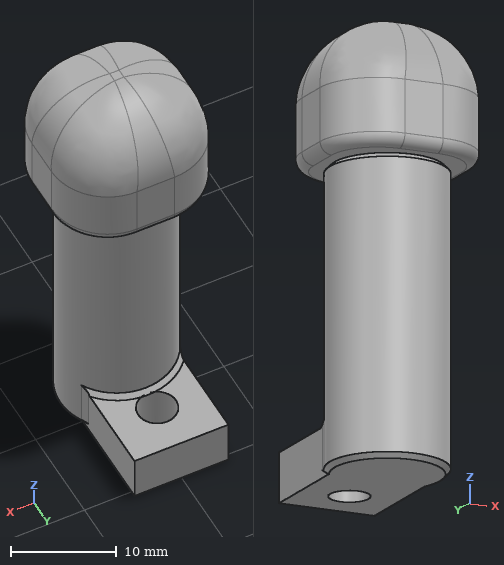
import cadquery as cq
import math

total_height = 44.0
stem_height = 30.0

stem_radius = 12.0 / 2
stem_chamfer = 0.5

tab_width = 10.0
tab_length = 10.0
tab_height = 5.0
tab_hole_diameter = 4.0
junction_chamfer = 0.5

junction_y = math.sqrt(stem_radius**2 - (tab_width / 2) ** 2)
tab_end_y = junction_y + tab_length
tab_hole_y = junction_y + tab_length / 2

cap_width = 16.0
cap_height = total_height - stem_height
cap_corner_radius = 6.0
cap_dome_radius = 7.5
cap_rim_radius = 1.2

pick_margin = 0.1


def make_stem():
    """Round stem with chamfered ends and a drilled tab blended into its foot."""
    stem = (
        cq.Workplane("XY")
        .circle(stem_radius)
        .extrude(stem_height)
        .faces("<Z or >Z")
        .chamfer(stem_chamfer)
    )
    tab = cq.Workplane("XY").box(tab_width, tab_end_y, tab_height, centered=(True, False, False))
    body = stem.union(tab)

    junction_box = cq.selectors.BoxSelector(
        (-tab_width / 2 - pick_margin, junction_y - pick_margin, 0),
        (tab_width / 2 + pick_margin, stem_radius + pick_margin, tab_height + pick_margin),
        boundingbox=True,
    )
    inner_edges = body.edges(junction_box).edges("%CIRCLE or |Z")
    body = inner_edges.chamfer(junction_chamfer)

    hole = (
        cq.Workplane("XY")
        .center(0, tab_hole_y)
        .circle(tab_hole_diameter / 2)
        .extrude(tab_height)
    )
    return body.cut(hole)


def make_cap():
    """Square cap with rounded corners, a domed top and a rounded lower rim."""
    return (
        cq.Workplane("XY")
        .workplane(offset=stem_height)
        .box(cap_width, cap_width, cap_height, centered=(True, True, False))
        .edges("|Z")
        .fillet(cap_corner_radius)
        .faces(">Z")
        .edges()
        .fillet(cap_dome_radius)
        .faces("<Z")
        .edges()
        .fillet(cap_rim_radius)
    )


stem = make_stem()
cap = make_cap()

result = cq.Compound.makeCompound([stem.val(), cap.val()])